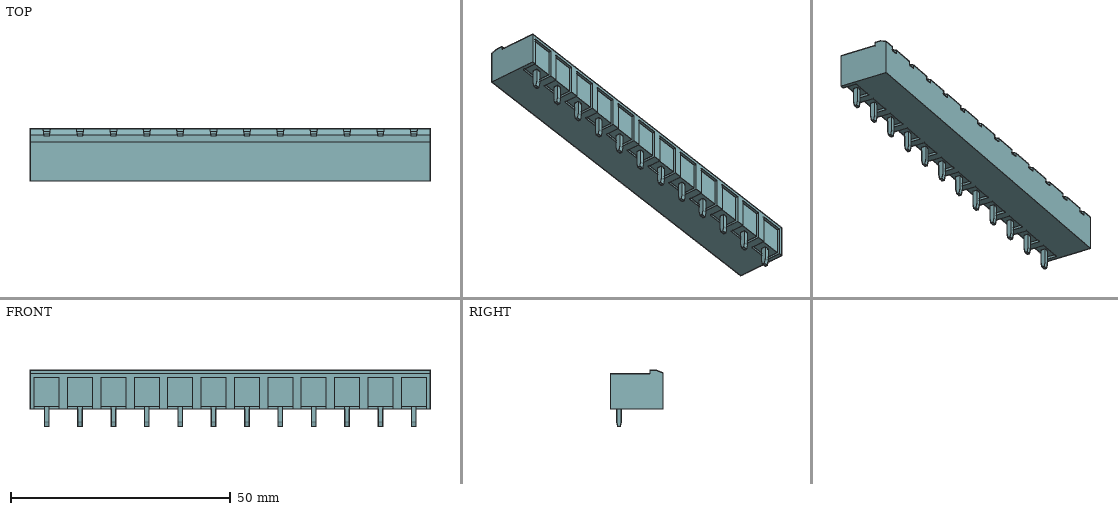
import cadquery as cq

LENGTH = 91.38
DEPTH = 12.0
FLAT_HEIGHT = 8.1

RIDGE_TOP = 8.9
RIDGE_DEPTH = 3.0
RIDGE_SLOPE_DEPTH = 1.5
BACK_HEIGHT = 8.3

POLE_COUNT = 12
POLE_PITCH = 7.62
FIRST_POLE_X = 3.78

POCKET_WIDTH = 5.7
POCKET_TOP = 7.2
POCKET_DEPTH = 0.6

RECESS_HEIGHT = 0.6
RECESS_DEPTH = 3.5

PIN_WIDTH = 1.1
PIN_THICKNESS = 1.1
PIN_TIP_THICKNESS = 0.6
PIN_LENGTH = 4.0
PIN_TAPER_LENGTH = 1.1
PIN_Y = 1.95

NOTCH_BACK_WIDTH = 1.7
NOTCH_FRONT_WIDTH = 1.2
NOTCH_DEPTH = 1.7
NOTCH_FLOOR = 8.1
NOTCH_DISH_RADIUS = 3.5
NOTCH_FLOOR_LENGTH = 0.6
NOTCH_DROP_LENGTH = 0.65
NOTCH_DROP = 0.8

POLE_POSITIONS = [FIRST_POLE_X + i * POLE_PITCH for i in range(POLE_COUNT)]


def box(x_center, width, y_start, y_end, z_start, z_end):
    """Box centred on x_center, between the given Y and Z limits."""
    size = (width, y_end - y_start, z_end - z_start)
    corner = (x_center - width / 2, y_start, z_start)
    return cq.Workplane("XY").box(*size, centered=False).translate(corner)


def make_housing():
    """Solid bar with a raised ridge that slopes down to the back face."""
    profile = [
        (0, 0),
        (DEPTH, 0),
        (DEPTH, BACK_HEIGHT),
        (DEPTH - RIDGE_SLOPE_DEPTH, RIDGE_TOP),
        (DEPTH - RIDGE_DEPTH, RIDGE_TOP),
        (DEPTH - RIDGE_DEPTH, FLAT_HEIGHT),
        (0, FLAT_HEIGHT),
    ]
    return cq.Workplane("YZ").polyline(profile).close().extrude(LENGTH)


def make_front_pocket(x):
    """Shallow rectangular pocket in the front face."""
    return box(x, POCKET_WIDTH, 0, POCKET_DEPTH, 0, POCKET_TOP)


def make_bottom_recess(x):
    """Recess that lifts the bottom face clear around a pin."""
    return box(x, POCKET_WIDTH, 0, RECESS_DEPTH, 0, RECESS_HEIGHT)


def make_notch(x):
    """Notch that narrows inwards: sloped front end, level middle, floor falling to the back."""
    floor_back_y = DEPTH - NOTCH_DROP_LENGTH
    floor_front_y = floor_back_y - NOTCH_FLOOR_LENGTH
    front_y = DEPTH - NOTCH_DEPTH
    drop_z = NOTCH_FLOOR - NOTCH_DROP
    axis_z = NOTCH_FLOOR + NOTCH_DISH_RADIUS

    dish_profile = [
        (front_y, axis_z),
        (front_y, NOTCH_FLOOR),
        (floor_back_y, NOTCH_FLOOR),
        (DEPTH, drop_z),
        (DEPTH, axis_z),
    ]
    dish = cq.Workplane("YZ").polyline(dish_profile).close().revolve(360, (0, axis_z, 0), (1, axis_z, 0))

    plan = [
        (-NOTCH_BACK_WIDTH / 2, DEPTH),
        (-NOTCH_FRONT_WIDTH / 2, front_y),
        (NOTCH_FRONT_WIDTH / 2, front_y),
        (NOTCH_BACK_WIDTH / 2, DEPTH),
    ]
    prism = cq.Workplane("XY").workplane(offset=drop_z).polyline(plan).close().extrude(RIDGE_TOP - drop_z)

    front_wedge_profile = [
        (front_y, RIDGE_TOP),
        (front_y, drop_z),
        (floor_front_y, drop_z),
        (floor_front_y, NOTCH_FLOOR),
    ]
    wedge_sketch = cq.Workplane("YZ").polyline(front_wedge_profile).close()
    front_wedge = wedge_sketch.extrude(NOTCH_BACK_WIDTH, both=True)

    return prism.intersect(dish).cut(front_wedge).translate((x, 0, 0))


def make_pin(x):
    """Square solder pin with a tip tapered on its front and back sides."""
    half = PIN_THICKNESS / 2
    half_tip = PIN_TIP_THICKNESS / 2
    profile = [
        (PIN_Y - half, RECESS_HEIGHT),
        (PIN_Y - half, PIN_TAPER_LENGTH - PIN_LENGTH),
        (PIN_Y - half_tip, -PIN_LENGTH),
        (PIN_Y + half_tip, -PIN_LENGTH),
        (PIN_Y + half, PIN_TAPER_LENGTH - PIN_LENGTH),
        (PIN_Y + half, RECESS_HEIGHT),
    ]
    pin = cq.Workplane("YZ").workplane(offset=x - PIN_WIDTH / 2)
    return pin.polyline(profile).close().extrude(PIN_WIDTH)


result = make_housing()
for pole_x in POLE_POSITIONS:
    result = result.cut(make_front_pocket(pole_x))
    result = result.cut(make_bottom_recess(pole_x))
    result = result.cut(make_notch(pole_x))
    result = result.union(make_pin(pole_x))